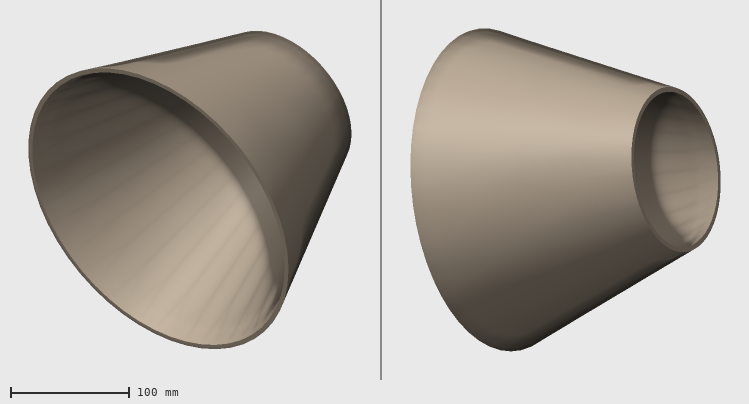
import cadquery as cq

wide_diameter = 273.0
narrow_diameter = 139.8
length = 178.0
wall = 4.0

wide_radius = wide_diameter / 2
narrow_radius = narrow_diameter / 2

wall_section = (
    cq.Workplane("XY")
    .moveTo(wide_radius - wall, 0)
    .lineTo(wide_radius, 0)
    .lineTo(narrow_radius, length)
    .lineTo(narrow_radius - wall, length)
    .close()
)

result = wall_section.revolve(360, (0, 0, 0), (0, 1, 0))